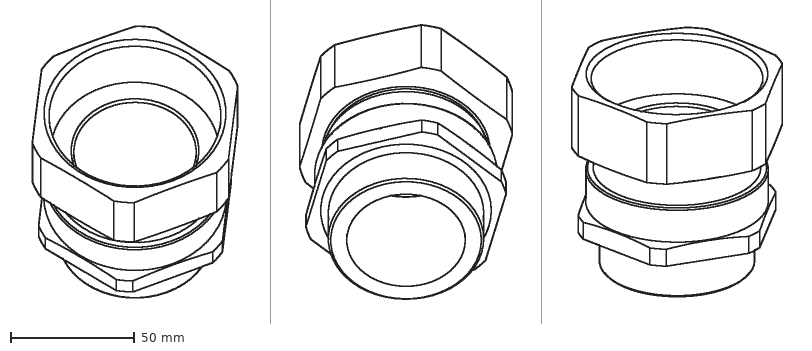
import cadquery as cq
import math

ring_base_z = 17.5
flange_base_z = 19.2
flange_top_z = 28.0
collar_top_z = 43.1
stem_top_z = 53.9
nut_base_z = 56.9
spigot_top_z = 59.7
nut_top_z = 85.7

nut_across_flats = 80.0
nut_corner_diameter = 88.0
nut_bevel_inner_radius = 39.5
nut_bevel_drop = 0.7
nut_mouth_radius = 36.9
nut_mouth_depth = 1.9
nut_bore_top_radius = 34.85

flange_across_flats = 75.0
flange_corner_diameter = 83.0
flange_bevel_drop = 1.1
thread_radius = 31.5
thread_chamfer = 1.0
collar_radius = 37.05
collar_chamfer = 0.7
stem_radius = 34.0
relief_radius = 32.9
spigot_radius = 34.1
bore_bottom_radius = 24.0
bore_top_radius = 24.8
bore_chamfer = 1.1

ring_radius = 34.6


def revolve_profile(points):
    """Revolve a closed outline of (radius, height) points about the Z axis."""
    return cq.Workplane("XZ").polyline(points).close().revolve(360, (0, 0, 0), (0, 1, 0))


def hex_prism(across_flats, base_z, top_z):
    """Hexagonal prism with two flats facing +X and -X."""
    across_corners = across_flats / math.cos(math.pi / 6)
    prism = cq.Workplane("XY").workplane(offset=base_z).polygon(6, across_corners)
    return prism.extrude(top_z - base_z).rotate((0, 0, 0), (0, 0, 1), 30)


def make_nut():
    """Hexagonal nut with rounded corners, bevelled ends and a tapered bore."""
    corner_radius = nut_corner_diameter / 2
    envelope = revolve_profile([
        (0, nut_base_z),
        (nut_bevel_inner_radius, nut_base_z),
        (corner_radius, nut_base_z + nut_bevel_drop),
        (corner_radius, nut_top_z - nut_bevel_drop),
        (nut_bevel_inner_radius, nut_top_z),
        (0, nut_top_z),
    ])
    opening = revolve_profile([
        (0, nut_base_z),
        (spigot_radius, nut_base_z),
        (spigot_radius, spigot_top_z),
        (nut_bore_top_radius, nut_top_z - nut_mouth_depth),
        (nut_mouth_radius, nut_top_z),
        (0, nut_top_z),
    ])
    return hex_prism(nut_across_flats, nut_base_z, nut_top_z).intersect(envelope).cut(opening)


def make_body():
    """Threaded tube with a hexagonal flange, a collar, a stem and a spigot inside the nut."""
    corner_radius = flange_corner_diameter / 2
    envelope = revolve_profile([
        (0, flange_base_z),
        (corner_radius, flange_base_z),
        (corner_radius, flange_top_z - flange_bevel_drop),
        (collar_radius, flange_top_z),
        (0, flange_top_z),
    ])
    flange = hex_prism(flange_across_flats, flange_base_z, flange_top_z).intersect(envelope)
    barrel = revolve_profile([
        (0, 0),
        (thread_radius - thread_chamfer, 0),
        (thread_radius, thread_chamfer),
        (thread_radius, flange_base_z),
        (collar_radius, flange_base_z),
        (collar_radius, collar_top_z - collar_chamfer),
        (collar_radius - collar_chamfer, collar_top_z),
        (stem_radius, collar_top_z),
        (stem_radius, stem_top_z),
        (relief_radius, stem_top_z),
        (relief_radius, nut_base_z),
        (spigot_radius, nut_base_z),
        (spigot_radius, spigot_top_z),
        (0, spigot_top_z),
    ])
    bore = revolve_profile([
        (0, 0),
        (bore_bottom_radius, 0),
        (bore_top_radius, spigot_top_z - bore_chamfer),
        (bore_top_radius + bore_chamfer, spigot_top_z),
        (0, spigot_top_z),
    ])
    return flange.union(barrel).cut(bore)


def make_sealing_ring():
    """Ring around the thread under the flange, with a quarter-round outer edge."""
    edge_radius = flange_base_z - ring_base_z
    rounding_run = edge_radius * math.sqrt(0.5)
    arc_centre_radius = ring_radius - edge_radius
    profile = (
        cq.Workplane("XZ")
        .moveTo(thread_radius, flange_base_z)
        .lineTo(thread_radius, ring_base_z)
        .lineTo(arc_centre_radius, ring_base_z)
        .threePointArc(
            (arc_centre_radius + rounding_run, flange_base_z - rounding_run),
            (ring_radius, flange_base_z),
        )
        .close()
    )
    return profile.revolve(360, (0, 0, 0), (0, 1, 0))


nut = make_nut()
body = make_body()
sealing_ring = make_sealing_ring()

result = cq.Compound.makeCompound([nut.val(), body.val(), sealing_ring.val()])